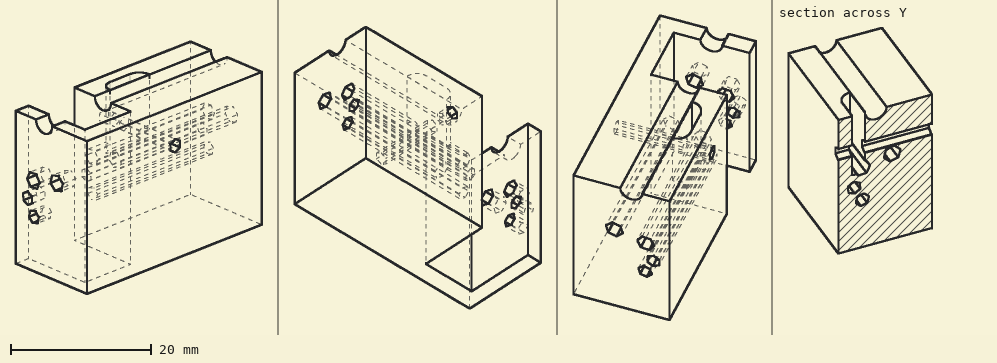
import cadquery as cq
import math

width = 14.58
length = 34.47
height = 23.8

front_plate = 2.55
opening_length = 9.03
spine_thickness = 3.07

groove_x = 5.83
groove_radius = 1.65

pocket_left = 2.15
pocket_wall = 0.05
pocket_front = 14.65
pocket_length = 7.75
pocket_corner = 1.93
pocket_depth = 10.48

lengthwise_holes = [
    (3.62, 9.7, 1.28, 5),
    (8.38, 8.6, 1.3, 15),
    (2.45, 12.82, 1.05, 34),
    (3.72, 15.35, 1.05, 15),
]

cross_hole_y = 17.4
cross_hole_depth = 6.17
cross_hole_radius = 1.05
cross_hole_turn = 30


def hexagon(center_across, center_up, radius, turn):
    """Corner points of a regular hexagon turned about its center."""
    angles = [math.radians(turn + 60 * corner) for corner in range(6)]
    return [(center_across + radius * math.cos(a), center_up + radius * math.sin(a)) for a in angles]


def opening():
    return cq.Workplane("XY").box(
        width - spine_thickness, opening_length, height, centered=False
    ).translate((0, front_plate, 0))


def groove():
    return cq.Workplane("XZ").center(groove_x, height).circle(groove_radius).extrude(-length)


def pocket():
    pocket_width = groove_x - groove_radius - pocket_wall - pocket_left
    blank = cq.Workplane("XY").box(pocket_width, pocket_length, pocket_depth, centered=False)
    rounded = blank.edges("|Z and <X").fillet(pocket_corner)
    return rounded.translate((pocket_left, pocket_front, height - pocket_depth))


def lengthwise_hole(x, depth, radius, turn):
    corners = hexagon(x, height - depth, radius, turn)
    return cq.Workplane("XZ").polyline(corners).close().extrude(-length)


def cross_hole():
    corners = hexagon(cross_hole_y, height - cross_hole_depth, cross_hole_radius, cross_hole_turn)
    return cq.Workplane("YZ").polyline(corners).close().extrude(width)


result = cq.Workplane("XY").box(width, length, height, centered=False)
result = result.cut(opening()).cut(groove()).cut(pocket()).cut(cross_hole())
for hole in lengthwise_holes:
    result = result.cut(lengthwise_hole(*hole))